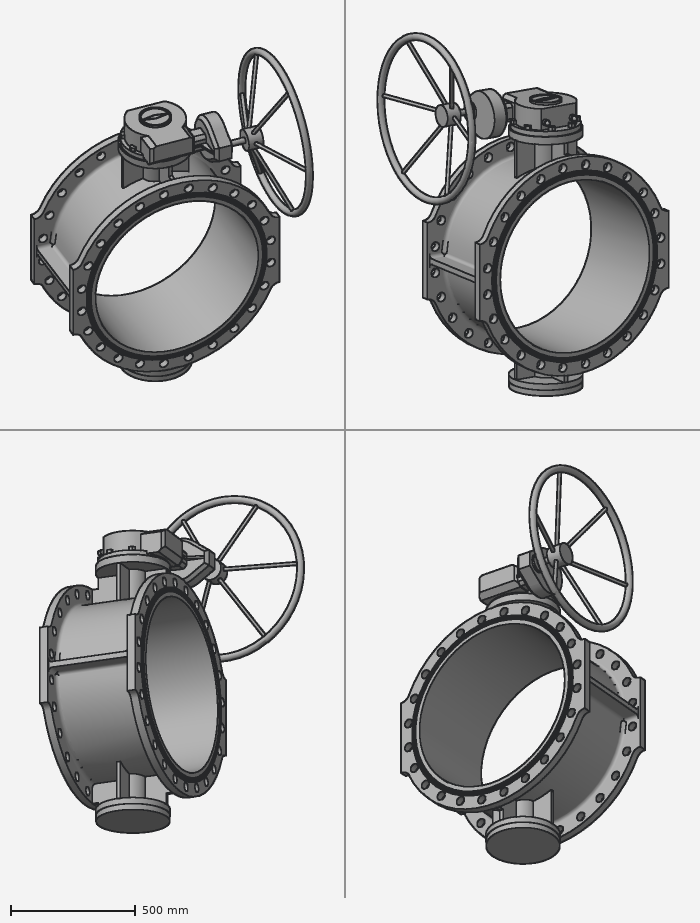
import cadquery as cq
import math


face_to_face = 430
raised_face_height = 5
raised_face_diameter = 794
bore_diameter = 718
barrel_diameter = 745
flange_diameter = 910
flange_thickness = 35
root_fillet = 15

half_length = face_to_face / 2
flange_outer_x = half_length - raised_face_height
flange_inner_x = flange_outer_x - flange_thickness
bore_radius = bore_diameter / 2
barrel_radius = barrel_diameter / 2
flange_radius = flange_diameter / 2

groove_count = 5
groove_pitch = 4
groove_width = 2
groove_depth = 1
groove_first_radius = 379

bolt_count = 24
bolt_circle_diameter = 840
bolt_hole_diameter = 37

lug_half_height = 161
lug_fillet = 40

rib_half_thickness = 12
rib_reach = 445
rib_root_half_thickness = 26
rib_root_fillet_y = 387

neck_diameter = 116
neck_top_z = 501
web_thickness = 16
axial_web_half_width = 150
cross_web_half_width = 145
pad_diameter = 300
top_pad_thickness = 32
bottom_pad_thickness = 26
cover_diameter = 298
cover_thickness = 25

gearbox_flange_diameter = 285
gearbox_flange_thickness = 21
gearbox_diameter = 250
gearbox_top_z = 643
gearbox_flat_x = -94
worm_box_end_x = 180
worm_box_bottom_z = 543
worm_box_half_width = 98
worm_box_top_half_width = 75
worm_box_shoulder_z = 628
worm_box_corner_chamfer = 12
worm_box_bottom_chamfer = 24

gearbox_flange_z = neck_top_z + top_pad_thickness
gearbox_base_z = gearbox_flange_z + gearbox_flange_thickness

gearbox_bolt_count = 8
gearbox_bolt_circle_diameter = 254
bolt_head_corner_diameter = 30
bolt_head_height = 16

stop_screw_y = 65
stop_nut_diameter = 25
stop_nut_length = 15
stop_tip_diameter = 20
stop_tip_length = 16
stop_tip_rounding = 9

indicator_diameter = 130
indicator_recess_diameter = 116
indicator_height = 9
indicator_recess_depth = 3
pointer_half_length = 58
pointer_half_width = 12

wheel_diameter = 700
rim_tube_diameter = 30
wheel_x = 210.54
wheel_y = 437
wheel_z = 585
spoke_count = 6
spoke_diameter = 15
spoke_start_angle = 3.7
spoke_start_radius = 35
spoke_start_y = 328
hub_diameter = 90
hub_near_y = 300
hub_far_y = 364
shaft_diameter = 25

worm_x = 132
worm_neck_diameter = 90
worm_neck_across_flats = 77

housing_x = 137
housing_radius = 98
housing_end_x = 263
housing_end_half_height = 32.5
housing_near_y = 150
housing_far_y = 221
housing_chamfer = 15
housing_boss_diameter = 75
housing_boss_far_y = 230

gusset_thickness = 9
gusset_sag = 2
gusset_overlap = 1


def cylinder_z(diameter, bottom_z, top_z):
    return cq.Workplane("XY").workplane(offset=bottom_z).circle(diameter / 2).extrude(top_z - bottom_z)


def cylinder_y(diameter, x, z, near_y, far_y):
    return (
        cq.Workplane("XZ", origin=(x, near_y, z))
        .circle(diameter / 2)
        .extrude(near_y - far_y)
    )


def box_between(x_range, y_range, z_range):
    lengths = [high - low for low, high in (x_range, y_range, z_range)]
    corner = cq.Vector(x_range[0], y_range[0], z_range[0])
    return cq.Workplane(cq.Solid.makeBox(*lengths, corner))


def make_barrel():
    """Barrel with both round flanges and raised faces, still without its bore."""
    fillet_x = flange_inner_x - root_fillet
    fillet_radius = barrel_radius + root_fillet
    arc_offset = root_fillet * math.sqrt(0.5)
    arc_x = fillet_x + arc_offset
    arc_radius = fillet_radius - arc_offset
    half = (
        cq.Workplane("XY")
        .lineTo(half_length, 0)
        .lineTo(half_length, raised_face_diameter / 2)
        .lineTo(flange_outer_x, raised_face_diameter / 2)
        .lineTo(flange_outer_x, flange_radius)
        .lineTo(flange_inner_x, flange_radius)
        .lineTo(flange_inner_x, fillet_radius)
        .threePointArc((arc_x, arc_radius), (fillet_x, barrel_radius))
        .lineTo(0, barrel_radius)
        .close()
        .revolve(360, (0, 0, 0), (1, 0, 0))
    )
    return half.union(half.mirror("YZ"))


def make_lug(side):
    """Flat-sided lug across both flanges at +Y or -Y, blended into the round outline."""
    blend_z = lug_half_height + lug_fillet
    blend_distance = flange_radius + lug_fillet
    blend_y = math.sqrt(blend_distance**2 - blend_z**2)
    touch_y = blend_y * flange_radius / blend_distance
    touch_z = blend_z * flange_radius / blend_distance
    middle_angle = (math.atan2(blend_z, blend_y) + math.pi / 2) / 2
    middle_y = blend_y - lug_fillet * math.cos(middle_angle)
    middle_z = blend_z - lug_fillet * math.sin(middle_angle)
    profile = (
        cq.Workplane("YZ", origin=(flange_inner_x, 0, 0))
        .moveTo(side * barrel_radius, -lug_half_height)
        .lineTo(side * touch_y, -touch_z)
        .threePointArc((side * middle_y, -middle_z), (side * blend_y, -lug_half_height))
        .lineTo(side * flange_radius, -lug_half_height)
        .lineTo(side * flange_radius, lug_half_height)
        .lineTo(side * blend_y, lug_half_height)
        .threePointArc((side * middle_y, middle_z), (side * touch_y, touch_z))
        .lineTo(side * barrel_radius, lug_half_height)
        .close()
    )
    lug = profile.extrude(flange_thickness)
    return lug.union(lug.mirror("YZ"))


def make_side_rib(side):
    """Horizontal rib between the flanges with fillets towards the barrel and the flanges."""
    depth_start = bore_radius
    flare_x = flange_inner_x - root_fillet
    flare_z = rib_half_thickness + root_fillet
    arc_step = root_fillet * (1 - math.sqrt(0.5))
    arc_x = flange_inner_x - arc_step
    arc_z = rib_half_thickness + arc_step
    plate = (
        cq.Workplane("XZ", origin=(0, side * depth_start, 0))
        .moveTo(-flange_inner_x, -flare_z)
        .threePointArc((-arc_x, -arc_z), (-flare_x, -rib_half_thickness))
        .lineTo(flare_x, -rib_half_thickness)
        .threePointArc((arc_x, -arc_z), (flange_inner_x, -flare_z))
        .lineTo(flange_inner_x, flare_z)
        .threePointArc((arc_x, arc_z), (flare_x, rib_half_thickness))
        .lineTo(-flare_x, rib_half_thickness)
        .threePointArc((-arc_x, arc_z), (-flange_inner_x, flare_z))
        .close()
        .extrude(-side * (rib_reach - depth_start))
    )
    root_y = math.sqrt(barrel_radius**2 - rib_root_half_thickness**2)
    bulge = math.sqrt(0.5)
    mid_y = rib_root_fillet_y - (rib_root_fillet_y - root_y) * bulge
    mid_z = rib_root_half_thickness - (rib_root_half_thickness - rib_half_thickness) * bulge
    root = (
        cq.Workplane("YZ", origin=(-flange_inner_x, 0, 0))
        .moveTo(side * depth_start, -rib_root_half_thickness)
        .lineTo(side * root_y, -rib_root_half_thickness)
        .threePointArc((side * mid_y, -mid_z), (side * rib_root_fillet_y, -rib_half_thickness))
        .lineTo(side * rib_root_fillet_y, rib_half_thickness)
        .threePointArc((side * mid_y, mid_z), (side * root_y, rib_root_half_thickness))
        .lineTo(side * depth_start, rib_root_half_thickness)
        .close()
        .extrude(2 * flange_inner_x)
    )
    return plate.union(root)


def make_neck():
    """Stem neck above the barrel: a round column stiffened by crossed webs."""
    half_web = (-web_thickness / 2, web_thickness / 2)
    column = cylinder_z(neck_diameter, 0, neck_top_z)
    axial_web = box_between((-axial_web_half_width, axial_web_half_width), half_web, (0, neck_top_z))
    flange_web = box_between((-flange_inner_x, flange_inner_x), half_web, (0, flange_radius))
    cross_web = box_between(half_web, (-cross_web_half_width, cross_web_half_width), (0, neck_top_z))
    return column.union(axial_web).union(flange_web).union(cross_web)


def cut_bolt_holes(body):
    holes = (
        cq.Workplane("YZ", origin=(-half_length, 0, 0))
        .polarArray(bolt_circle_diameter / 2, 180 / bolt_count, 360, bolt_count)
        .circle(bolt_hole_diameter / 2)
        .extrude(flange_thickness + raised_face_height)
    )
    return body.cut(holes).cut(holes.mirror("YZ"))


def cut_face_grooves(body):
    for index in range(groove_count):
        inner_radius = groove_first_radius + index * groove_pitch
        groove = (
            cq.Workplane("YZ", origin=(-half_length, 0, 0))
            .circle(inner_radius + groove_width)
            .circle(inner_radius)
            .extrude(groove_depth)
        )
        body = body.cut(groove).cut(groove.mirror("YZ"))
    return body


def make_body():
    body = make_barrel()
    for side in (-1, 1):
        body = body.union(make_lug(side)).union(make_side_rib(side))
    neck = make_neck()
    body = body.union(neck).union(neck.mirror("XY"))
    bore = cq.Workplane("YZ", origin=(-half_length, 0, 0)).circle(bore_radius).extrude(face_to_face)
    body = cut_face_grooves(cut_bolt_holes(body.cut(bore)))
    top_pad = cylinder_z(pad_diameter, neck_top_z, gearbox_flange_z)
    cover_top_z = -neck_top_z - bottom_pad_thickness
    bottom_pad = cylinder_z(pad_diameter, cover_top_z, -neck_top_z)
    cover = cylinder_z(cover_diameter, cover_top_z - cover_thickness, cover_top_z)
    return body.union(top_pad).union(bottom_pad).union(cover)


def make_worm_box():
    """Block on the +X side of the gearbox that holds the worm."""
    profile = (
        cq.Workplane("YZ")
        .moveTo(-worm_box_half_width, worm_box_bottom_z)
        .lineTo(worm_box_half_width, worm_box_bottom_z)
        .lineTo(worm_box_half_width, worm_box_shoulder_z)
        .lineTo(worm_box_top_half_width, gearbox_top_z)
        .lineTo(-worm_box_top_half_width, gearbox_top_z)
        .lineTo(-worm_box_half_width, worm_box_shoulder_z)
        .close()
    )
    block = profile.extrude(worm_box_end_x)
    block = block.faces(">X").edges("|Z").chamfer(worm_box_corner_chamfer)
    return block.faces("<Z").edges(">X").chamfer(worm_box_bottom_chamfer)


def make_stop_screw(y):
    nut = (
        cq.Workplane("YZ", origin=(gearbox_flat_x, y, wheel_z))
        .circle(stop_nut_diameter / 2)
        .extrude(-stop_nut_length)
    )
    tip = (
        cq.Workplane("YZ", origin=(gearbox_flat_x - stop_nut_length, y, wheel_z))
        .circle(stop_tip_diameter / 2)
        .extrude(-stop_tip_length)
        .faces("<X")
        .edges()
        .fillet(stop_tip_rounding)
    )
    return nut.union(tip)


def make_indicator():
    """Position indicator disc with a raised rim and a diamond pointer."""
    top_z = gearbox_top_z + indicator_height
    floor_z = top_z - indicator_recess_depth
    disc = cylinder_z(indicator_diameter, gearbox_top_z, top_z)
    disc = disc.cut(cylinder_z(indicator_recess_diameter, floor_z, top_z))
    pointer = (
        cq.Workplane("XY", origin=(0, 0, floor_z))
        .moveTo(0, -pointer_half_length)
        .lineTo(pointer_half_width, 0)
        .lineTo(0, pointer_half_length)
        .lineTo(-pointer_half_width, 0)
        .close()
        .extrude(indicator_recess_depth)
    )
    return disc.union(pointer)


def make_gearbox():
    flange = cylinder_z(gearbox_flange_diameter, gearbox_flange_z, gearbox_base_z)
    case = cylinder_z(gearbox_diameter, gearbox_flange_z, gearbox_top_z)
    beyond_flat = box_between(
        (-gearbox_diameter, gearbox_flat_x),
        (-gearbox_diameter, gearbox_diameter),
        (gearbox_flange_z, gearbox_top_z),
    )
    bolt_heads = (
        cq.Workplane("XY", origin=(0, 0, gearbox_base_z))
        .polarArray(gearbox_bolt_circle_diameter / 2, 180 / gearbox_bolt_count, 360, gearbox_bolt_count)
        .polygon(6, bolt_head_corner_diameter)
        .extrude(bolt_head_height)
    )
    gearbox = case.cut(beyond_flat).union(flange).union(bolt_heads).union(make_worm_box())
    for side in (-1, 1):
        gearbox = gearbox.union(make_stop_screw(side * stop_screw_y))
    return gearbox.union(make_indicator())


def make_worm_neck():
    """Round neck with four flats joining the worm block to the gear housing."""
    neck = cylinder_y(worm_neck_diameter, worm_x, wheel_z, 0, housing_near_y)
    half_flats = worm_neck_across_flats / 2
    flats = box_between(
        (worm_x - half_flats, worm_x + half_flats),
        (0, housing_near_y),
        (wheel_z - half_flats, wheel_z + half_flats),
    )
    return neck.intersect(flats)


def make_gear_housing():
    """Teardrop housing: a round end and a short flat end joined by tangent lines."""
    reach = housing_end_x - housing_x
    end_angle = math.atan2(housing_end_half_height, reach)
    end_distance = math.hypot(reach, housing_end_half_height)
    tangent_angle = end_angle + math.acos(housing_radius / end_distance)
    tangent_x = housing_radius * math.cos(tangent_angle)
    tangent_z = housing_radius * math.sin(tangent_angle)
    housing = (
        cq.Workplane("XZ", origin=(housing_x, housing_far_y, wheel_z))
        .moveTo(reach, -housing_end_half_height)
        .lineTo(reach, housing_end_half_height)
        .lineTo(tangent_x, tangent_z)
        .threePointArc((-housing_radius, 0), (tangent_x, -tangent_z))
        .close()
        .extrude(housing_far_y - housing_near_y)
        .faces("<Y")
        .edges()
        .chamfer(housing_chamfer)
    )
    boss = cylinder_y(housing_boss_diameter, wheel_x, wheel_z, housing_far_y, housing_boss_far_y)
    return housing.union(boss)


def make_gusset():
    """Thin curved web from the worm block to the flat end of the gear housing."""
    tip_x = housing_end_x - housing_chamfer
    root_x = worm_box_end_x - worm_box_corner_chamfer / 2
    waist_y = (worm_box_half_width + housing_near_y) / 2
    curve_mid = ((root_x + tip_x) / 2, (waist_y + housing_near_y) / 2 - gusset_sag)
    return (
        cq.Workplane("XY", origin=(0, 0, wheel_z - gusset_thickness / 2))
        .moveTo(worm_x, worm_box_top_half_width)
        .lineTo(root_x, worm_box_top_half_width)
        .lineTo(root_x, waist_y)
        .threePointArc(curve_mid, (tip_x, housing_near_y))
        .lineTo(tip_x, housing_near_y + gusset_overlap)
        .lineTo(worm_x, housing_near_y + gusset_overlap)
        .close()
        .extrude(gusset_thickness)
    )


def make_handwheel():
    """Hub on the worm shaft with sloping spokes out to a round rim."""
    rim_radius = (wheel_diameter - rim_tube_diameter) / 2
    wheel_centre = cq.Vector(wheel_x, wheel_y, wheel_z)
    hub = cylinder_y(hub_diameter, wheel_x, wheel_z, hub_near_y, hub_far_y)
    shaft = cylinder_y(shaft_diameter, wheel_x, wheel_z, housing_far_y, hub_far_y)
    wheel = hub.union(shaft)
    for index in range(spoke_count):
        angle = math.radians(spoke_start_angle + index * 360 / spoke_count)
        outward = cq.Vector(math.cos(angle), 0, math.sin(angle))
        start = cq.Vector(wheel_x, spoke_start_y, wheel_z) + outward * spoke_start_radius
        run = wheel_centre + outward * rim_radius - start
        spoke = cq.Solid.makeCylinder(spoke_diameter / 2, run.Length, start, run)
        wheel = wheel.union(cq.Workplane(spoke))
    rim = cq.Solid.makeTorus(rim_radius, rim_tube_diameter / 2, wheel_centre, cq.Vector(0, 1, 0))
    return wheel.union(cq.Workplane(rim), clean=False)


result = (
    make_body()
    .union(make_gearbox())
    .union(make_worm_neck())
    .union(make_gear_housing())
    .union(make_gusset())
    .union(make_handwheel(), clean=False)
)